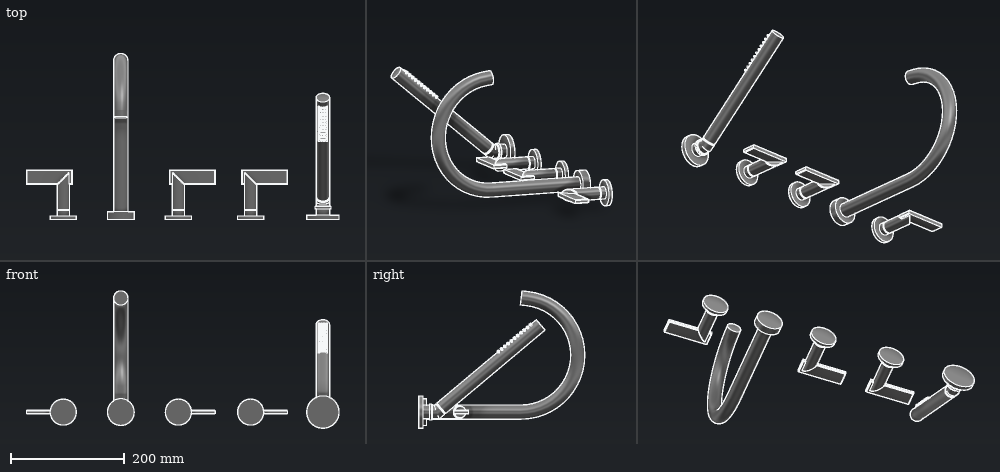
import cadquery as cq
import math


HANDLE_FLANGE_RADIUS = 23.0
HANDLE_FLANGE_THICKNESS = 6.5
STEM_RADIUS = 11.0
GROOVE_START = 16.0
GROOVE_WIDTH = 1.5
GROOVE_DEPTH = 0.5
STEM_RIM_CHAMFER = 1.0
BLADE_FRONT = 62.0
BLADE_DEPTH = 25.5
BLADE_THICKNESS = 7.0
BLADE_LENGTH = 81.0
BLADE_OVERHANG = 5.0
BLADE_CHAMFER = 1.4
HANDLES = [(-101.5, -1), (101.5, 1), (228.5, 1)]

SPOUT_FLANGE_RADIUS = 23.5
SPOUT_FLANGE_THICKNESS = 14.5
SPOUT_RADIUS = 12.5
SPOUT_STRAIGHT = 180.0
SPOUT_BEND_RADIUS = 100.0
SPOUT_BEND_ANGLE = 173.5
SPOUT_TIP_LENGTH = 11.0

SHOWER_X = 356.0
SHOWER_FLANGE_RADIUS = 28.5
SHOWER_FLANGE_THICKNESS = 8.0
SHOWER_RADIUS = 12.0
COLLAR_RADIUS = 14.5
COLLAR_START = 19.5
COLLAR_WIDTH = 5.0
COLLAR_CHAMFER = 1.0
ELBOW_Y = 32.0
WAND_TILT = 40.0
WAND_LENGTH = 239.0
WAND_GROOVE_START = 8.0
WAND_GROOVE_WIDTH = 2.0
WAND_GROOVE_DEPTH = 1.0
NOZZLE_ROWS = 11
NOZZLE_COLUMNS = 4
NOZZLE_GRID_LENGTH = 74.5
NOZZLE_ROW_PITCH = NOZZLE_GRID_LENGTH / (NOZZLE_ROWS - 1)
NOZZLE_COLUMN_PITCH = 4.5
NOZZLE_RADIUS = 1.5
NOZZLE_HEIGHT = 14.0
NOZZLE_END_MARGIN = 13.0


def rod(x, start, length, radius):
    """Round rod along +Y, starting at Y = start on the base axis."""
    return cq.Workplane(cq.Solid.makeCylinder(radius, length, cq.Vector(x, start, 0), cq.Vector(0, 1, 0)))


def ring_groove(x, start, width, radius, depth):
    """Cutter for a groove around a rod along +Y."""
    return rod(x, start, width, radius + depth).cut(rod(x, start, width, radius - depth))


def make_stem(x, side):
    """Grooved stem, cut at 45 degrees with a chamfered rim, its long side facing away from the blade."""
    tip = BLADE_FRONT + 2 * STEM_RADIUS
    stem = rod(x, 0, tip, STEM_RADIUS)
    inner = x + side * STEM_RADIUS
    outer = x - side * STEM_RADIUS
    mitre = (
        cq.Workplane("XY")
        .polyline([(inner, BLADE_FRONT), (inner, tip), (outer, tip)])
        .close()
        .extrude(STEM_RADIUS, both=True)
    )
    stem = stem.cut(mitre)
    stem = stem.faces(cq.DirectionSelector(cq.Vector(side, 1, 0))).chamfer(STEM_RIM_CHAMFER)
    return stem.cut(ring_groove(x, GROOVE_START, GROOVE_WIDTH, STEM_RADIUS, GROOVE_DEPTH))


def make_blade(x, side):
    """Flat blade with chamfered front and end edges and a square back edge."""
    start = x - side * (STEM_RADIUS + BLADE_OVERHANG)
    return (
        cq.Workplane("XY")
        .box(BLADE_LENGTH, BLADE_DEPTH, BLADE_THICKNESS)
        .edges("|Y or (|X and <Y)")
        .chamfer(BLADE_CHAMFER)
        .translate((start + side * BLADE_LENGTH / 2, BLADE_FRONT + BLADE_DEPTH / 2, 0))
    )


def make_handle(x, side):
    """Flange, stem and a blade pointing along side * X, joined into one solid."""
    flange = rod(x, 0, HANDLE_FLANGE_THICKNESS, HANDLE_FLANGE_RADIUS)
    return flange.union(make_stem(x, side)).union(make_blade(x, side))


def bend_point(angle):
    """(Y, Z) of the point on the spout's centre line after turning by an angle in radians."""
    return (
        SPOUT_STRAIGHT + SPOUT_BEND_RADIUS * math.sin(angle),
        SPOUT_BEND_RADIUS * (1 - math.cos(angle)),
    )


def make_spout():
    """Flange and a gooseneck tube that ends in a short straight tip."""
    flange = rod(0, 0, SPOUT_FLANGE_THICKNESS, SPOUT_FLANGE_RADIUS)
    turn = math.radians(SPOUT_BEND_ANGLE)
    end_y, end_z = bend_point(turn)
    path = (
        cq.Workplane("YZ")
        .lineTo(SPOUT_STRAIGHT, 0)
        .threePointArc(bend_point(turn / 2), (end_y, end_z))
        .lineTo(end_y + SPOUT_TIP_LENGTH * math.cos(turn), end_z + SPOUT_TIP_LENGTH * math.sin(turn))
    )
    tube = cq.Workplane("XZ").circle(SPOUT_RADIUS).sweep(path)
    return flange.union(tube)


def tilt_wand(shape):
    """Tilt a shape built along +Y from the elbow up to the wand's direction."""
    return shape.rotate((0, ELBOW_Y, 0), (1, ELBOW_Y, 0), WAND_TILT)


def make_shower_tube():
    """Post and tilted wand, joined by a mitred elbow."""
    tilt = math.radians(WAND_TILT)
    path = (
        cq.Workplane("YZ", origin=(SHOWER_X, 0, 0))
        .lineTo(ELBOW_Y, 0)
        .lineTo(ELBOW_Y + WAND_LENGTH * math.cos(tilt), WAND_LENGTH * math.sin(tilt))
    )
    profile = cq.Workplane("XZ", origin=(SHOWER_X, 0, 0)).circle(SHOWER_RADIUS)
    return profile.sweep(path, transition="right")


def make_nozzles():
    """Grid of short pins standing out of the upper side of the wand near its end."""
    grid_centre = ELBOW_Y + WAND_LENGTH - NOZZLE_END_MARGIN - NOZZLE_GRID_LENGTH / 2
    pins = (
        cq.Workplane("XY", origin=(SHOWER_X, grid_centre, 0))
        .rarray(NOZZLE_COLUMN_PITCH, NOZZLE_ROW_PITCH, NOZZLE_COLUMNS, NOZZLE_ROWS)
        .circle(NOZZLE_RADIUS)
        .extrude(NOZZLE_HEIGHT)
    )
    return tilt_wand(pins)


def make_shower():
    """Flange, collared post and grooved wand with its nozzles, joined into one solid."""
    flange = rod(SHOWER_X, 0, SHOWER_FLANGE_THICKNESS, SHOWER_FLANGE_RADIUS)
    collar = rod(SHOWER_X, COLLAR_START, COLLAR_WIDTH, COLLAR_RADIUS).faces(">Y").chamfer(COLLAR_CHAMFER)
    groove_y = ELBOW_Y + WAND_GROOVE_START
    groove = ring_groove(SHOWER_X, groove_y, WAND_GROOVE_WIDTH, SHOWER_RADIUS, WAND_GROOVE_DEPTH)
    tube = make_shower_tube().cut(tilt_wand(groove))
    return flange.union(tube).union(collar).union(make_nozzles())


handles = [make_handle(x, side) for x, side in HANDLES]
spout = make_spout()
shower = make_shower()
result = cq.Compound.makeCompound([*[handle.val() for handle in handles], spout.val(), shower.val()])